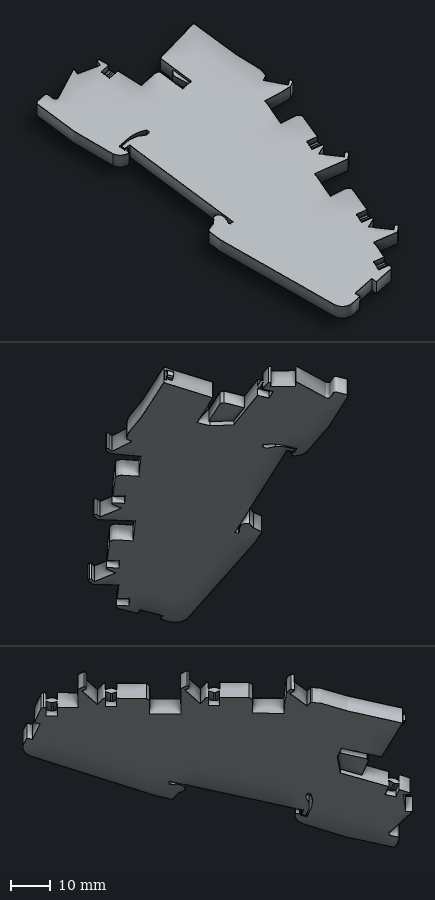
import cadquery as cq
import math

LENGTH = 100.9
HEIGHT = 48.6
THICKNESS = 5.1
RAIL_FACE_Y = 6.3

FOOT_RADIUS = 0.9
HEEL_RADIUS = 3.8
HEEL_CENTER = (LENGTH - HEEL_RADIUS, 8.3)
HEEL_SWEEP = 84

STEP_COUNT = 2
FIRST_STEP = (49.7, 37.0)
STEP_PITCH = (24.5, -8.3)
STEP_ANGLE = math.degrees(math.atan2(STEP_PITCH[1], STEP_PITCH[0]))

NOTCH_WIDTH = 2.8
NOTCH_LENGTH = 2.7
NOTCH_OVERRUN = 0.5
BAR_HEIGHT = 1.8
BAR_RIDGE = (1.0, 1.5)
BAR_FLANK_DROP = 0.5
FOOT_NOTCH = (5.8, 18.3)
END_NOTCH = (96.1, 21.0)
TOWER_NOTCH = (8.7, 0.2)

KEY_BLOCK_BOTTOM = 1.3
SNAP_BUMP_Z = (1.3, 4.2)
TAB_Z = (1.5, 3.7)
TAB_CHAMFER = 0.4
COLLAR_Z = (1.1, 4.0)


def step_point(index, offset):
    """Point at an offset from the foot of the step with the given index."""
    return tuple(FIRST_STEP[i] + index * STEP_PITCH[i] + offset[i] for i in range(2))


def heel_point(angle):
    """Point on the heel arc, the angle in degrees below the horizontal."""
    turn = math.radians(angle)
    return (
        HEEL_CENTER[0] + HEEL_RADIUS * math.cos(turn),
        HEEL_CENTER[1] - HEEL_RADIUS * math.sin(turn),
    )


def follow(path, points):
    """Extend a path with straight lines through the points."""
    for point in points:
        path = path.lineTo(*point)
    return path


def round_to(path, point):
    """Extend a path with an arc that continues its last direction."""
    return path.tangentArcPoint(point, relative=False)


def prism(points, bottom, top):
    """Straight prism over a closed polygon between two heights."""
    return cq.Workplane("XY", origin=(0, 0, bottom)).polyline(points).close().extrude(top - bottom)


def left_side(path):
    """Left foot, its side hook and the upper arm, going up."""
    path = round_to(path.lineTo(0, 3.2), (0.7, 4.0))
    path = path.lineTo(2.4, 4.0).threePointArc((3.0, 4.3), (3.1, 5.0))
    path = follow(path, [(0.1, 13.8), (0, 14.3), (1.7, 13.8), (4.1, 19.6)])
    path = follow(path, [(2.5, 20.1), (2.7, 20.7), (4.6, 21.0), (21.8, 22.5)])
    return follow(path, [(24.3, 27.9), (24.3, 31.4), (13.7, 31.4), (12.6, 45.1)])


def arm_top(path):
    """Top of the upper arm and the upright first latch hook."""
    path = follow(path, [(27.1, 45.2), (34.5, 45.9), (36.7, 45.5), (37.0, 45.3)])
    path = follow(path, [(37.5, 43.9), (43.1, 47.0), (42.4, 48.0), (42.4, HEIGHT)])
    return follow(path, [(43.3, HEIGHT), (43.9, 47.0), (43.3, 43.8)])


def step(path, index):
    """Wide gap floor, round-shouldered tower, V notch and thin latch hook."""
    path = follow(path, [step_point(index, offset) for offset in [(-7.6, 2.4), (0, 0), (1.1, 3.9)]])
    path = round_to(path, step_point(index, (2.5, 5.3)))
    path = path.lineTo(*step_point(index, (12.3, 2.3)))
    path = round_to(path, step_point(index, (12.9, 1.7)))
    hook = [(13.5, -0.6), (18.8, 3.0), (18.1, 4.0), (18.2, 4.5), (18.8, 4.8), (20.0, 3.1)]
    return follow(path, [step_point(index, offset) for offset in hook])


def right_side(path):
    """Right end with its square notch, then the rounded heel, going down."""
    path = follow(path, [(92.0, 25.5), (100.3, 22.9), (100.8, 22.4), (100.8, 16.9), (99.3, 16.9)])
    path = follow(path, [(99.3, 10.7), (100.8, 10.7), heel_point(0)])
    return path.threePointArc(heel_point(HEEL_SWEEP / 2), heel_point(HEEL_SWEEP))


def right_foot(path):
    """Sloping underside and the rounded nose that grips the rail."""
    path = follow(path, [(63.1, 0), (59.3, 0)])
    path = round_to(path, (58.7, 0.5))
    path = follow(path, [(58.2, 2.6), (57.0, 4.1)])
    path = path.threePointArc((57.4, 5.3), (58.9, 5.9))
    return follow(path, [(59.6, 5.9), (60.9, 5.2), (61.5, 5.3), (61.5, RAIL_FACE_Y)])


def rail_slit(path):
    """Rail face and the curved slit that lets the left foot flex."""
    path = follow(path, [(27.5, RAIL_FACE_Y), (26.3, 6.4), (26.2, 4.6), (25.1, 4.5)])
    path = follow(path, [(25.1, 7.3), (25.9, 9.6), (26.8, 10.7)])
    path = path.threePointArc((27.3, 11.9), (27.1, 12.6)).lineTo(26.3, 12.6)
    return path.threePointArc((25.1, 10.0), (24.7, 7.1)).lineTo(24.7, 4.2)


def left_claw(path):
    """Claw of the left foot and the underside back to the start."""
    path = follow(path, [(26.4, 4.3), (26.7, 5.4), (26.8, 4.7), (27.8, 4.4)])
    path = path.threePointArc((27.3, 3.0), (26.3, 2.0))
    path = follow(path, [(25.1, 1.4), (14.0, 0.1)])
    path = path.lineTo(13.0, 0).lineTo(FOOT_RADIUS, 0)
    return round_to(path, (0, FOOT_RADIUS))


def plate():
    path = cq.Workplane("XY").moveTo(0, FOOT_RADIUS)
    path = arm_top(left_side(path))
    for index in range(STEP_COUNT):
        path = step(path, index)
    path = right_foot(right_side(path))
    path = left_claw(rail_slit(path))
    return path.close().extrude(THICKNESS)


def key_block():
    """Bevelled block filling the corner below the upper arm."""
    points = [(15.9, 21.2), (15.9, 27.4), (16.6, 28.3), (24.7, 28.3), (24.7, 21.2)]
    return prism(points, KEY_BLOCK_BOTTOM, THICKNESS)


def snap_bump():
    """Rounded bump on the underside of the upper arm."""
    bottom, top = SNAP_BUMP_Z
    path = cq.Workplane("XY", origin=(0, 0, bottom)).moveTo(18.3, 31.8).lineTo(18.3, 31.3)
    path = path.threePointArc((18.9, 30.5), (20.2, 30.2))
    return follow(path, [(24.5, 30.9), (24.5, 31.8)]).close().extrude(top - bottom)


def tab():
    """Small tab on the end of the upper arm, with a collar above it."""
    body = prism([(11.6, 42.9), (11.6, 44.5), (13.0, 44.5), (13.0, 42.9)], *TAB_Z)
    body = body.edges("<X and |Y").chamfer(TAB_CHAMFER)
    collar = prism([(12.5, 44.4), (12.5, 45.0), (13.0, 45.0), (13.0, 44.4)], *COLLAR_Z)
    return body.union(collar)


def edge_notch(corner, angle):
    """Cutter for one notch that leaves its bar standing, turned to suit the edge."""
    length = NOTCH_LENGTH + NOTCH_OVERRUN
    notch = cq.Workplane("XY").box(NOTCH_WIDTH, length, THICKNESS, centered=False)
    ridge = BAR_HEIGHT / 2
    flank = ridge - BAR_FLANK_DROP
    upper = [(0, flank), (BAR_RIDGE[0], ridge), (BAR_RIDGE[1], ridge), (NOTCH_WIDTH, flank)]
    lower = [(x, -z) for x, z in reversed(upper)]
    bar = cq.Workplane("XZ", origin=(0, 0, THICKNESS / 2)).polyline(upper + lower).close().extrude(-length)
    cutter = notch.cut(bar).rotate((0, 0, 0), (0, 0, 1), angle)
    return cutter.translate((corner[0], corner[1], 0))


result = plate().union(key_block()).union(snap_bump()).union(tab())
result = result.cut(edge_notch(FOOT_NOTCH, 0))
result = result.cut(edge_notch(END_NOTCH, STEP_ANGLE))
for step_index in range(STEP_COUNT):
    result = result.cut(edge_notch(step_point(step_index, TOWER_NOTCH), STEP_ANGLE))